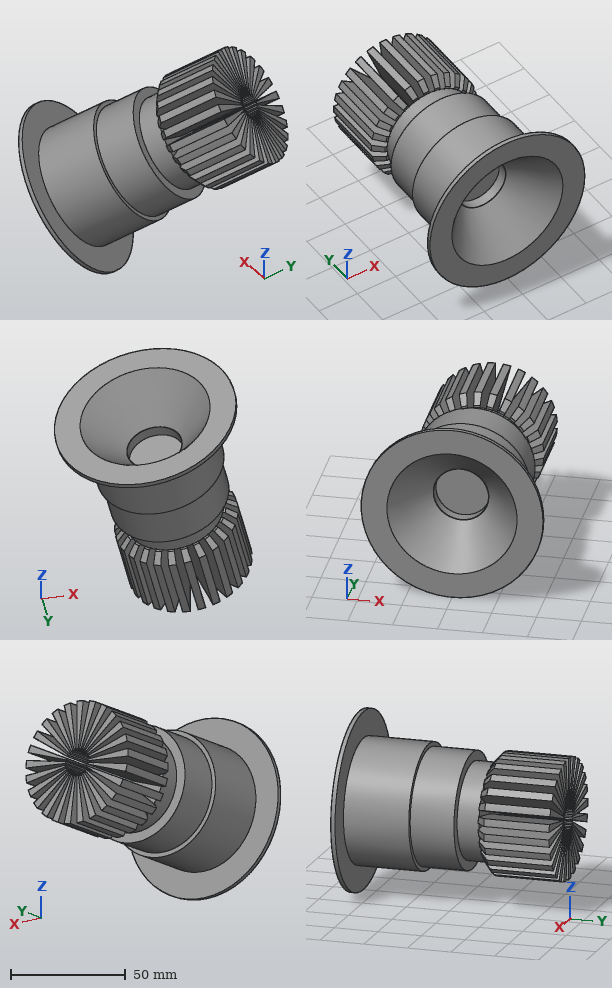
import cadquery as cq

flange_radius = 40.5
flange_end = 2.0
base_radius = 28.5
base_end = 32.0
middle_radius = 26.5
middle_end = 52.0
neck_radius = 22.0
neck_end = 62.0

mouth_radius = 29.0
throat_radius = 12.4
throat_depth = 20.0
recess_radius = 12.2
recess_length = 5.0
recess_depth = throat_depth + recess_length

total_length = 96.0
fin_count = 25
fin_outer_radius = 27.6
fin_inner_radius = 6.0
fin_foot_radius = 23.0
fin_taper_length = 4.0
fin_taper_end = neck_end + fin_taper_length
fin_pitch_angle = 360 / fin_count
fin_angle = fin_pitch_angle / 2


def revolve_about_y(profile, angle=360):
    """Turn a closed (radius, Y) outline about the Y axis."""
    return cq.Workplane("XY").polyline(profile).close().revolve(angle, (0, 0), (0, 1))


def make_body():
    return revolve_about_y([
        (0, 0),
        (flange_radius, 0),
        (flange_radius, flange_end),
        (base_radius, flange_end),
        (base_radius, base_end),
        (middle_radius, base_end),
        (middle_radius, middle_end),
        (neck_radius, middle_end),
        (neck_radius, neck_end),
        (0, neck_end),
    ])


def make_reflector_cavity():
    return revolve_about_y([
        (0, 0),
        (mouth_radius, 0),
        (throat_radius, throat_depth),
        (recess_radius, throat_depth),
        (recess_radius, recess_depth),
        (0, recess_depth),
    ])


def make_fin():
    """One fin, centred on the -X direction."""
    wedge = revolve_about_y([
        (fin_inner_radius, neck_end),
        (fin_foot_radius, neck_end),
        (fin_outer_radius, fin_taper_end),
        (fin_outer_radius, total_length),
        (fin_inner_radius, total_length),
    ], fin_angle)
    return wedge.rotate((0, 0, 0), (0, 1, 0), 180 - fin_angle / 2)


result = make_body().cut(make_reflector_cavity())
fin = make_fin()
for index in range(fin_count):
    result = result.union(fin.rotate((0, 0, 0), (0, 1, 0), index * fin_pitch_angle))